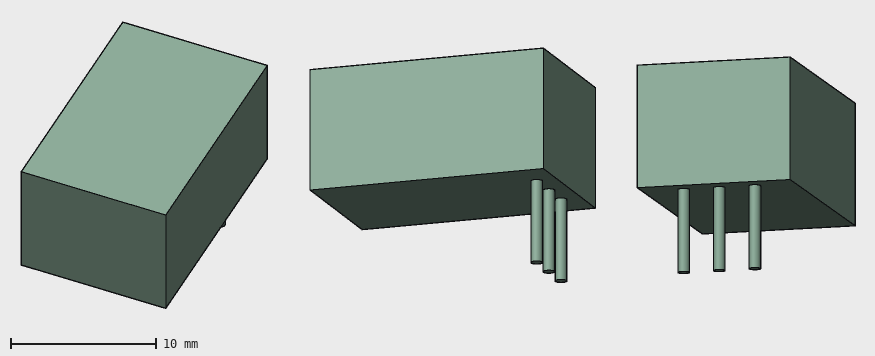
import cadquery as cq

housing_width = 10.93
housing_length = 17.02
overall_height = 14.43
pin_length = 5.82
housing_height = overall_height - pin_length

pin_diameter = 0.82
pin_count = 3
pin_pitch = 2.54
pin_inset = 1.5
pin_row_y = housing_length / 2 - pin_inset


def make_housing():
    """Plain rectangular block standing on Z = 0."""
    return cq.Workplane("XY").box(
        housing_width, housing_length, housing_height, centered=(True, True, False)
    )


def make_pin(x):
    """Straight pin hanging from the housing underside at the given X."""
    return (
        cq.Workplane("XY")
        .center(x, pin_row_y)
        .circle(pin_diameter / 2)
        .extrude(-pin_length)
    )


housing = make_housing()

pins = []
for index in range(pin_count):
    pin_x = (index - (pin_count - 1) / 2) * pin_pitch
    pins.append(make_pin(pin_x).val())

result = cq.Compound.makeCompound([housing.val(), *pins])